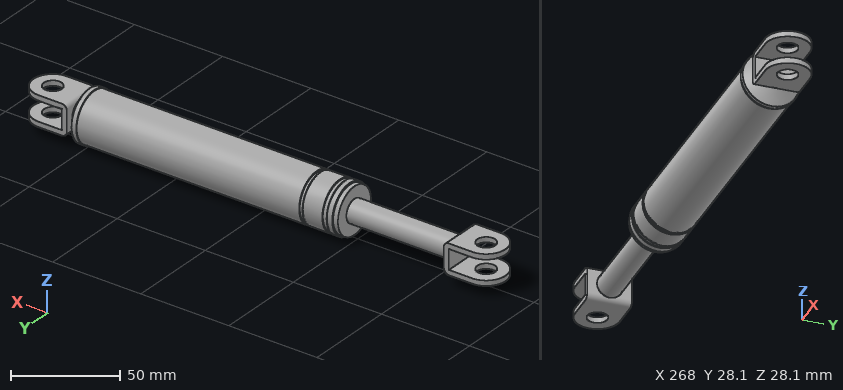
import cadquery as cq

total_length = 268.0

clevis_length = 27.0
clevis_width = 22.0
clevis_height = 17.0
clevis_wall = 3.0
bend_radius = 3.0
pin_hole_diameter = 10.0

rod_diameter = 12.5

cylinder_start = 85.8
cylinder_end = total_length - clevis_length
cylinder_radius = 13.7
nose_radius = 12.9
nose_length = 2.7
groove_depth = 0.5
front_groove_start = 91.7
front_groove_width = 2.5
rear_groove_start = 105.3
rear_groove_width = 2.0

rim_radius = 14.07
rim_start = 233.5
cone_start = 236.0
cone_end_radius = 7.0


def make_clevis():
    """Clevis with its ear tips at X = 0, opening toward -X."""
    ear_radius = clevis_width / 2
    ear_outline = (
        cq.Workplane("XY")
        .moveTo(ear_radius, -ear_radius)
        .lineTo(clevis_length, -ear_radius)
        .lineTo(clevis_length, ear_radius)
        .lineTo(ear_radius, ear_radius)
        .threePointArc((0, 0), (ear_radius, -ear_radius))
        .close()
    )
    block = ear_outline.extrude(clevis_height / 2, both=True)
    block = block.faces(">X").edges("|Y").fillet(bend_radius)

    slot_length = clevis_length - clevis_wall
    slot_height = clevis_height - 2 * clevis_wall
    slot = cq.Workplane("XY").box(
        slot_length, clevis_width, slot_height, centered=(False, True, True)
    )
    pin_hole = (
        cq.Workplane("XY")
        .center(ear_radius, 0)
        .circle(pin_hole_diameter / 2)
        .extrude(clevis_height / 2, both=True)
    )
    return block.cut(slot).cut(pin_hole)


def make_rod():
    """Rod with a clevis on its free end; the other end meets the cylinder nose."""
    shaft_start = clevis_length - clevis_wall / 2
    shaft = (
        cq.Workplane("YZ", origin=(shaft_start, 0, 0))
        .circle(rod_diameter / 2)
        .extrude(cylinder_start - shaft_start)
    )
    return make_clevis().union(shaft)


def make_groove_cutter(start, width):
    """Ring of rectangular section that cuts a shallow groove around the cylinder."""
    groove_floor = cylinder_radius - groove_depth
    return (
        cq.Workplane("XY")
        .moveTo(start, groove_floor)
        .lineTo(start + width, groove_floor)
        .lineTo(start + width, cylinder_radius)
        .lineTo(start, cylinder_radius)
        .close()
        .revolve(360, (0, 0, 0), (1, 0, 0))
    )


def make_cylinder():
    """Cylinder with a stepped nose, two grooves, a rimmed cone and a clevis."""
    barrel = (
        cq.Workplane("XY")
        .moveTo(cylinder_start, 0)
        .lineTo(cylinder_start, nose_radius)
        .lineTo(cylinder_start + nose_length, nose_radius)
        .lineTo(cylinder_start + nose_length, cylinder_radius)
        .lineTo(rim_start, cylinder_radius)
        .lineTo(rim_start, rim_radius)
        .lineTo(cone_start, rim_radius)
        .lineTo(cylinder_end, cone_end_radius)
        .lineTo(cylinder_end, 0)
        .close()
        .revolve(360, (0, 0, 0), (1, 0, 0))
    )
    grooves = [
        (front_groove_start, front_groove_width),
        (rear_groove_start, rear_groove_width),
    ]
    for start, width in grooves:
        barrel = barrel.cut(make_groove_cutter(start, width))

    end_clevis = make_clevis().mirror("YZ").translate((total_length, 0, 0))
    return barrel.union(end_clevis)


rod = make_rod()
cylinder = make_cylinder()

result = cq.Compound.makeCompound([rod.val(), cylinder.val()])